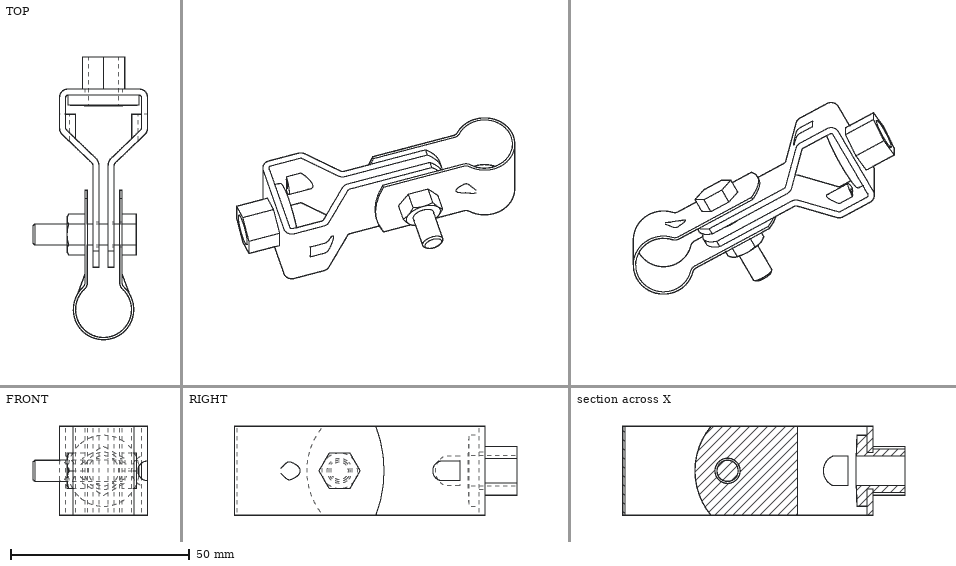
import cadquery as cq
import math

width = 25.0
flange_diameter = 20.0
clearance = 1.0

clamp_thickness = 0.7
pipe_outer_radius = 8.5
clamp_half_width = 5.2
clamp_leg_end = 33.5
clamp_end_radius = 35.0
clamp_neck_radius = 1.75
bead_radius = 3.75
bead_tilt = 20.5
bead_length = 7.5
bead_start = 10.0

bracket_thickness = 1.75
bracket_half_width = 12.35
leg_gap = 2.5
leg_half_width = leg_gap / 2 + bracket_thickness
bracket_back = 61.83
shoulder_y = 49.8
neck_y = 40.8
bracket_leg_end = 11.85
bracket_end_radius = 19.5
inside_bend_radius = bracket_half_width - bracket_thickness - flange_diameter / 2
outside_bend_radius = inside_bend_radius + bracket_thickness
neck_bend_radius = 1.0

indent_radius = 2.75
indent_outer_radius = indent_radius + bracket_thickness
indent_start = 54.8

bolt_y = 21.03
bolt_diameter = 6.0
bolt_tip_diameter = 4.92
bolt_tip_chamfer = (bolt_diameter - bolt_tip_diameter) / 2
bolt_length = 25.0
bolt_head_height = 4.0
bolt_clearance_diameter = 7.0
hex_across_flats = 10.0
nut_height = 5.0
nut_chamfer_angle = 30.0

socket_across_flats = 11.9
socket_length = 9.0
socket_shank_diameter = 10.5
socket_bore_diameter = 8.5
flange_edge_thickness = 2.8
flange_crown = 0.2


def hexagon_diameter(across_flats):
    """Circumscribed diameter of a hexagon."""
    return across_flats / math.cos(math.radians(30))


def x_cylinder(diameter, x_start, x_end):
    """Cylinder on the bolt axis."""
    return (
        cq.Workplane("YZ", origin=(x_start, bolt_y, 0))
        .circle(diameter / 2)
        .extrude(x_end - x_start)
    )


def x_hexagon(x_start, x_end):
    """Hexagonal prism on the bolt axis, with corners pointing along Y."""
    return (
        cq.Workplane("YZ", origin=(x_start, bolt_y, 0))
        .polygon(6, hexagon_diameter(hex_across_flats))
        .extrude(x_end - x_start)
    )


def y_cylinder(radius, y_start, y_end, x=0):
    """Cylinder parallel to Y, at mid height."""
    return (
        cq.Workplane("XZ", origin=(x, y_start, 0))
        .circle(radius)
        .extrude(y_start - y_end)
    )


def rounded_end(tip_y, radius, direction):
    """Block whose rounded end reaches tip_y; direction is the sign of Y at that end."""
    rise = radius - math.sqrt(radius**2 - (width / 2) ** 2)
    edge_y = tip_y - direction * rise
    far_y = tip_y - direction * bracket_back
    return (
        cq.Workplane("YZ")
        .moveTo(far_y, -width / 2)
        .lineTo(edge_y, -width / 2)
        .threePointArc((tip_y, 0), (edge_y, width / 2))
        .lineTo(far_y, width / 2)
        .close()
        .extrude(bracket_half_width, both=True)
    )


def make_bracket():
    """Bent strip: back wall, side walls, sloping shoulders and two parallel legs."""
    right_side = [
        (leg_half_width, bracket_leg_end),
        (leg_half_width, neck_y),
        (bracket_half_width, shoulder_y),
        (bracket_half_width, bracket_back),
    ]
    left_side = [(-x, y) for x, y in reversed(right_side)]
    envelope = (
        cq.Workplane("XY", origin=(0, 0, -width / 2))
        .polyline(right_side + left_side)
        .close()
        .extrude(width)
    )
    reach = bracket_half_width + clearance
    in_neck = cq.selectors.BoxSelector(
        (-reach, neck_y - clearance, -width), (reach, neck_y + clearance, width)
    )
    in_shoulders = cq.selectors.BoxSelector(
        (-reach, neck_y + clearance, -width), (reach, bracket_back + clearance, width)
    )
    envelope = envelope.edges("|Z").edges(in_shoulders).fillet(outside_bend_radius)
    envelope = envelope.edges("|Z").edges(in_neck).fillet(neck_bend_radius)
    bracket = envelope.faces("|Z or <Y").shell(-bracket_thickness)

    for side in (-1, 1):
        wall_x = side * bracket_half_width
        bulge = y_cylinder(indent_outer_radius, indent_start, neck_y, wall_x)
        groove = y_cylinder(indent_radius, indent_start, neck_y, wall_x)
        bracket = bracket.union(bulge.intersect(envelope)).cut(groove)

    bracket = bracket.intersect(rounded_end(bracket_leg_end, bracket_end_radius, -1))
    bracket = bracket.cut(x_cylinder(bolt_clearance_diameter, -leg_half_width, leg_half_width))
    shank_hole = y_cylinder(socket_shank_diameter / 2, bracket_back, bracket_back - bracket_thickness)
    return bracket.cut(shank_hole)


def make_clamp():
    """Thin strip looped round the pipe, with two parallel legs and a stiffening bead at each neck."""
    legs = cq.Workplane("XY").box(2 * clamp_half_width, clamp_leg_end, width, centered=(True, False, True))
    envelope = cq.Workplane("XY").circle(pipe_outer_radius).extrude(width / 2, both=True).union(legs)
    at_neck = cq.selectors.BoxSelector(
        (-pipe_outer_radius, clearance, -width), (pipe_outer_radius, clamp_leg_end - clearance, width)
    )
    envelope = envelope.edges("|Z").edges(at_neck).fillet(clamp_neck_radius)
    clamp = envelope.faces("|Z or >Y").shell(-clamp_thickness)

    tilt = math.radians(bead_tilt)
    for side in (-1, 1):
        along = cq.Vector(side * math.sin(tilt), -math.cos(tilt), 0)
        inward = cq.Vector(-side * math.cos(tilt), -math.sin(tilt), 0)
        crest = cq.Vector(side * clamp_half_width, bead_start, 0)
        start = crest + inward * bead_radius - along * bead_radius
        rod = cq.Workplane(cq.Solid.makeCylinder(bead_radius, bead_radius + bead_length, start, along))
        clamp = clamp.union(rod.cut(envelope))

    clamp = clamp.intersect(rounded_end(clamp_leg_end, clamp_end_radius, 1))
    return clamp.cut(x_cylinder(bolt_clearance_diameter, -clamp_half_width, clamp_half_width))


def make_bolt():
    """Hex-head bolt whose tip points along -X."""
    tip_x = clamp_half_width - bolt_length
    shank = x_cylinder(bolt_diameter, tip_x, clamp_half_width)
    shank = shank.faces("<X").chamfer(bolt_tip_chamfer)
    return shank.union(x_hexagon(clamp_half_width, clamp_half_width + bolt_head_height))


def make_nut():
    """Hex nut with its outer corners turned off by a cone."""
    outer_x = -clamp_half_width - nut_height
    corner_radius = hexagon_diameter(hex_across_flats) / 2
    face_radius = hex_across_flats / 2
    cone_depth = (corner_radius - face_radius) * math.tan(math.radians(nut_chamfer_angle))
    turned = x_cylinder(2 * corner_radius, outer_x, -clamp_half_width)
    turned = turned.faces("<X").chamfer(cone_depth, corner_radius - face_radius)
    nut = x_hexagon(outer_x, -clamp_half_width).intersect(turned)
    return nut.cut(x_cylinder(bolt_diameter, outer_x, -clamp_half_width))


def make_socket():
    """Hex sleeve behind the back wall, its shank through the wall and a slightly conical flange inside."""
    inner_face = bracket_back - bracket_thickness
    hexagon = (
        cq.Workplane("XZ", origin=(0, bracket_back, 0))
        .transformed(rotate=(0, 0, 90))
        .polygon(6, hexagon_diameter(socket_across_flats))
        .extrude(-socket_length)
    )
    shank = y_cylinder(socket_shank_diameter / 2, bracket_back, inner_face)
    flange_radius = flange_diameter / 2
    bore_radius = socket_bore_diameter / 2
    edge_y = inner_face - flange_edge_thickness
    crown_y = edge_y - flange_crown
    flange = (
        cq.Workplane("XY")
        .moveTo(bore_radius, inner_face)
        .lineTo(flange_radius, inner_face)
        .lineTo(flange_radius, edge_y)
        .lineTo(bore_radius, crown_y)
        .close()
        .revolve(360, (0, 0, 0), (0, 1, 0))
    )
    bore = y_cylinder(bore_radius, bracket_back + socket_length, crown_y)
    return hexagon.union(shank).union(flange).cut(bore)


bracket = make_bracket().solids()
clamp = make_clamp().solids()
bolt = make_bolt().solids()
nut = make_nut().solids()
socket = make_socket().solids()

result = cq.Compound.makeCompound([bracket.val(), clamp.val(), bolt.val(), nut.val(), socket.val()])